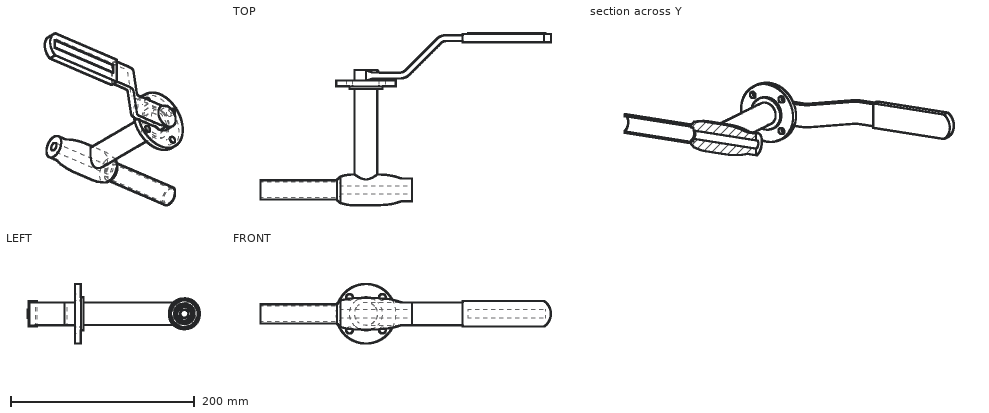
import cadquery as cq
import math

pipe_start = -114.7
pipe_diameter = 21.2
pipe_bore = 16.7
seat_bore = 15.0
ball_bore = 9.0
seat_depth = 3.2
body_start = -31.5
body_shoulder = -27.8
barrel_half_length = 14.2
spigot_start = 39.0
spigot_end = 50.2
body_start_diameter = 22.0
shoulder_diameter = 29.0
barrel_diameter = 33.8
spigot_diameter = 25.0

stem_diameter = 25.0
flange_diameter = 65.0
flange_thickness = 6.5
flange_top = 119.0
boss_diameter = 36.0
boss_thickness = 3.0
bolt_circle_diameter = 50.5
bolt_hole_diameter = 7.0
bolt_count = 4
flange_bottom = flange_top - flange_thickness

hub_diameter = stem_diameter
side_clearance = 0.03
lever_width = hub_diameter + 2 * side_clearance
lever_thickness = 6.5
lever_gap = 2.0
lever_rise = 40.8
lever_slope = 45
upper_bend_x = 82.5
inner_bend_radius = 8.0
hub_height = 11.5
grip_start = 105.2
grip_end = 201.3
grip_width = 27.8
grip_thickness = 9.2
grip_end_radius = 16.7
strip_start = 111.2
strip_end = 195.3
strip_width = 9.5
strip_height = 0.8

hub_radius = hub_diameter / 2
hub_top = flange_top + hub_height
lever_bottom = flange_top + lever_gap
lever_top = lever_bottom + lever_thickness
hub_fillet = hub_top - lever_top
grip_middle = lever_bottom + lever_rise + lever_thickness / 2
grip_top = grip_middle + grip_thickness / 2
lower_bend_x = upper_bend_x - lever_rise / math.tan(math.radians(lever_slope))


def cylinder_y(diameter, y_start, y_end):
    """Cylinder on the stem axis between two heights."""
    return cq.Workplane("XZ", origin=(0, y_start, 0)).circle(diameter / 2).extrude(y_start - y_end)


def cylinder_x(diameter, x_start, x_end):
    """Cylinder on the pipe axis between two stations."""
    return cq.Workplane("YZ", origin=(x_start, 0, 0)).circle(diameter / 2).extrude(x_end - x_start)


def taper_middle(barrel_x, end_x, end_diameter):
    """Point halfway along an arc that leaves the barrel tangentially and ends at a smaller diameter."""
    length = end_x - barrel_x
    drop = (barrel_diameter - end_diameter) / 2
    arc_radius = (length**2 + drop**2) / (2 * drop)
    half_angle = math.asin(length / arc_radius) / 2
    x = barrel_x + arc_radius * math.sin(half_angle)
    y = barrel_diameter / 2 - arc_radius * (1 - math.cos(half_angle))
    return (x, y)


def make_body_shell():
    """Pipe, rounded shoulder, barrel, tapered neck and spigot, revolved about X."""
    shoulder_middle = taper_middle(-barrel_half_length, body_shoulder, shoulder_diameter)
    neck_middle = taper_middle(barrel_half_length, spigot_start, spigot_diameter)
    return (
        cq.Workplane("XY")
        .moveTo(pipe_start, 0)
        .lineTo(pipe_start, pipe_diameter / 2)
        .lineTo(body_start, pipe_diameter / 2)
        .lineTo(body_start, body_start_diameter / 2)
        .lineTo(body_shoulder, shoulder_diameter / 2)
        .threePointArc(shoulder_middle, (-barrel_half_length, barrel_diameter / 2))
        .lineTo(barrel_half_length, barrel_diameter / 2)
        .threePointArc(neck_middle, (spigot_start, spigot_diameter / 2))
        .lineTo(spigot_end, spigot_diameter / 2)
        .lineTo(spigot_end, 0)
        .close()
        .revolve(360, (0, 0, 0), (1, 0, 0))
    )


def make_valve():
    """Valve body with its stem tube, flange and stepped through bore."""
    valve = make_body_shell()
    valve = valve.union(cylinder_y(stem_diameter, 0, flange_bottom))
    valve = valve.union(cylinder_y(boss_diameter, flange_bottom - boss_thickness, flange_bottom))
    valve = valve.union(cylinder_y(flange_diameter, flange_bottom, flange_top))
    bolt_holes = (
        cq.Workplane("XZ", origin=(0, flange_top, 0))
        .polarArray(bolt_circle_diameter / 2, 180 / bolt_count, 360, bolt_count)
        .circle(bolt_hole_diameter / 2)
        .extrude(flange_thickness)
    )
    valve = valve.cut(bolt_holes)
    valve = valve.cut(cylinder_x(pipe_bore, pipe_start, body_start))
    valve = valve.cut(cylinder_x(seat_bore, body_start, body_start + seat_depth))
    return valve.cut(cylinder_x(ball_bore, pipe_start, spigot_end))


def make_hub():
    """Round hub, with equal fillets onto both lever faces, the lower one cut short by the flange."""
    arc_inset = hub_fillet * (1 - math.sqrt(0.5))
    turned_hub = (
        cq.Workplane("XY")
        .moveTo(0, lever_bottom - hub_fillet)
        .lineTo(hub_radius, lever_bottom - hub_fillet)
        .threePointArc(
            (hub_radius + arc_inset, lever_bottom - arc_inset),
            (hub_radius + hub_fillet, lever_bottom),
        )
        .lineTo(hub_radius + hub_fillet, lever_top)
        .threePointArc(
            (hub_radius + arc_inset, lever_top + arc_inset),
            (hub_radius, hub_top),
        )
        .lineTo(0, hub_top)
        .close()
        .revolve(360, (0, 0, 0), (0, 1, 0))
    )
    half_length = hub_radius + hub_fillet
    lever_envelope = (
        cq.Workplane("XY")
        .box(half_length, hub_height, lever_width, centered=(False, False, True))
        .translate((0, flange_top, 0))
    )
    collar = turned_hub.intersect(lever_envelope)
    return cylinder_y(hub_diameter, flange_top, hub_top).union(collar)


def make_lever():
    """Flat bar that rises between two bends of equal radius."""
    bend_shift = lever_thickness * math.tan(math.radians(lever_slope / 2))
    half_shift = bend_shift / 2
    upper_bottom = lever_bottom + lever_rise
    bar = (
        cq.Workplane("XY", origin=(0, 0, -lever_width / 2))
        .moveTo(0, lever_bottom)
        .lineTo(lower_bend_x + half_shift, lever_bottom)
        .lineTo(upper_bend_x + half_shift, upper_bottom)
        .lineTo(grip_start, upper_bottom)
        .lineTo(grip_start, upper_bottom + lever_thickness)
        .lineTo(upper_bend_x - half_shift, upper_bottom + lever_thickness)
        .lineTo(lower_bend_x - half_shift, lever_top)
        .lineTo(0, lever_top)
        .close()
        .extrude(lever_width)
    )
    outer_bend_radius = inner_bend_radius + lever_thickness
    inner_bends = ((lower_bend_x - half_shift, lever_top), (upper_bend_x + half_shift, upper_bottom))
    outer_bends = (
        (lower_bend_x + half_shift, lever_bottom),
        (upper_bend_x - half_shift, upper_bottom + lever_thickness),
    )
    for bends, radius in ((inner_bends, inner_bend_radius), (outer_bends, outer_bend_radius)):
        for x, y in bends:
            bar = bar.edges(cq.selectors.NearestToPointSelector((x, y, 0))).fillet(radius)
    return bar


def make_grip():
    """Thicker, wider sleeve with an arched end and a low raised strip on its top face."""
    half_width = grip_width / 2
    arch_height = grip_end_radius - math.sqrt(grip_end_radius**2 - half_width**2)
    arch_start = grip_end - arch_height
    sleeve = (
        cq.Workplane("XZ", origin=(0, grip_top, 0))
        .moveTo(grip_start, -half_width)
        .lineTo(arch_start, -half_width)
        .threePointArc((grip_end, 0), (arch_start, half_width))
        .lineTo(grip_start, half_width)
        .close()
        .extrude(grip_thickness)
    )
    strip_length = strip_end - strip_start
    raised_strip = (
        cq.Workplane("XZ", origin=(strip_start + strip_length / 2, grip_top, 0))
        .rect(strip_length, strip_width)
        .extrude(-strip_height)
    )
    return sleeve.union(raised_strip)


valve = make_valve()
handle = make_hub().union(make_lever()).union(make_grip())
result = cq.Compound.makeCompound([valve.solids().val(), handle.solids().val()])